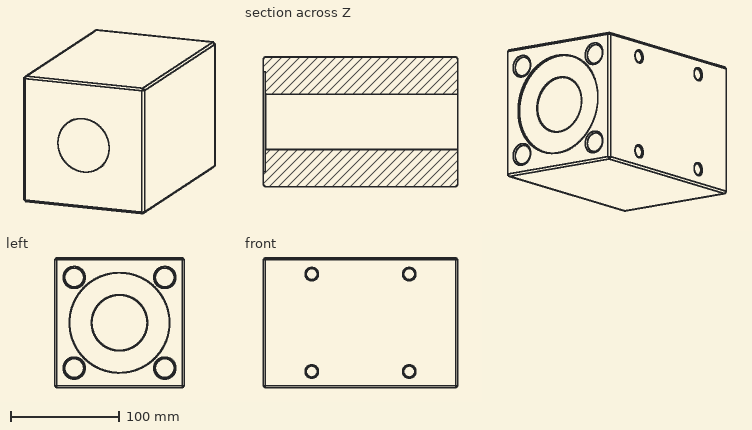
import cadquery as cq
import math

length = 180.0
width = 120.0
edge_chamfer = 2.0

bore_diameter = 51.0
bore_chamfer = 0.5
seat_diameter = 92.2
seat_chamfer = 0.4
seat_depth = 2.0

end_hole_diameter = 17.5
end_hole_mouth = 20.3
end_hole_spacing = 83.7
end_hole_depth = 30.0

side_hole_diameter = 10.3
side_hole_mouth = 12.2
side_hole_spacing = 90.0
side_hole_depth = 25.0
drill_point_angle = 118.0


def hole_cutter(diameter, mouth_diameter, depth, tip_length=0.0):
    """Hole along -Z from the origin, with a 45 degree mouth and an optional conical tip."""
    radius = diameter / 2
    mouth_radius = mouth_diameter / 2
    profile = (
        cq.Workplane("XZ")
        .lineTo(mouth_radius, 0)
        .lineTo(radius, radius - mouth_radius)
        .lineTo(radius, -depth)
        .lineTo(0, -depth - tip_length)
        .close()
    )
    return profile.revolve(360, (0, 0), (0, 1)).val()


def cut_square_pattern(block, plane, spacing, cutter):
    """Cut a hole at each corner of a square centred on the plane."""
    corners = plane.rarray(spacing, spacing, 2, 2)
    holes = corners.eachpoint(cutter.moved, useLocalCoordinates=True, combine=False)
    return block.cut(holes)


block = cq.Workplane("XY").box(length, width, width).edges().chamfer(edge_chamfer)

end_plane = cq.Workplane("YZ", origin=(-length / 2, 0, 0)).transformed(rotate=(0, 180, 0))
side_plane = cq.Workplane("XZ", origin=(0, -width / 2, 0))

seat_cutter = hole_cutter(seat_diameter, seat_diameter + 2 * seat_chamfer, seat_depth)
seat = end_plane.eachpoint(seat_cutter.moved, useLocalCoordinates=True, combine=False)
bore_cutter = hole_cutter(bore_diameter, bore_diameter + 2 * bore_chamfer, length)
seat_floor = end_plane.workplane(offset=-seat_depth)
bore = seat_floor.eachpoint(bore_cutter.moved, useLocalCoordinates=True, combine=False)
block = block.cut(seat).cut(bore)

end_hole = hole_cutter(end_hole_diameter, end_hole_mouth, end_hole_depth)
block = cut_square_pattern(block, end_plane, end_hole_spacing, end_hole)

tip_length = side_hole_diameter / 2 / math.tan(math.radians(drill_point_angle / 2))
side_hole = hole_cutter(side_hole_diameter, side_hole_mouth, side_hole_depth, tip_length)
result = cut_square_pattern(block, side_plane, side_hole_spacing, side_hole)